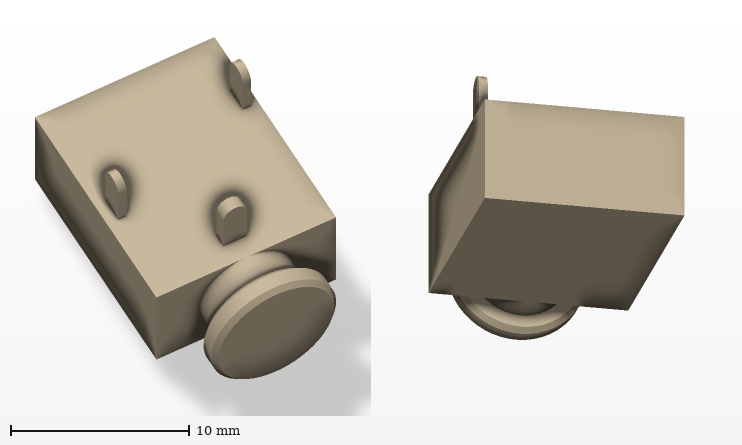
import cadquery as cq

total_length = 17.7
body_length = 14.2
body_width = 11.5
body_height = 6.0
cover_thickness = 1.0

barrel_diameter = body_height
barrel_length = 2.0
flange_diameter = 8.0
flange_length = total_length - body_length - barrel_length
flange_chamfer = 0.3
axis_height = body_height / 2

pin_width = 1.5
pin_height = 3.2
side_pin_thickness = 0.51
nose_pin_thickness = 0.8
rear_pin_y = 5.0
middle_pin_y = -4.8
rear_pin_x = 4.42
middle_pin_x = 7.72
nose_pin_x = 12.51
quarter_turn = 90


def block(bottom, height):
    """Box over the enclosure footprint, with its rear face at X = 0."""
    return (
        cq.Workplane("XY")
        .box(body_length, body_width, height, centered=(False, True, False))
        .translate((0, 0, bottom))
    )


def disc(start_x, diameter, length):
    """Cylinder on the socket axis."""
    return (
        cq.Workplane("YZ", origin=(start_x, 0, axis_height))
        .circle(diameter / 2)
        .extrude(length)
    )


def make_pin(x, y, thickness, turn):
    """Flat pin with a fully rounded tip, turned about its vertical axis."""
    shoulder_height = pin_height - pin_width / 2
    return (
        cq.Workplane("XZ")
        .moveTo(-pin_width / 2, 0)
        .lineTo(pin_width / 2, 0)
        .lineTo(pin_width / 2, shoulder_height)
        .threePointArc((0, pin_height), (-pin_width / 2, shoulder_height))
        .close()
        .extrude(thickness / 2, both=True)
        .rotate((0, 0, 0), (0, 0, 1), turn)
        .translate((x, y, body_height))
    )


def make_housing():
    """Housing block with its barrel, flange and three pins."""
    housing = block(cover_thickness, body_height - cover_thickness)
    barrel = disc(body_length, barrel_diameter, barrel_length)
    flange = disc(body_length + barrel_length, flange_diameter, flange_length)
    flange = flange.edges().chamfer(flange_chamfer)
    housing = housing.union(barrel).union(flange)

    pins = [
        (rear_pin_x, rear_pin_y, side_pin_thickness, 0),
        (middle_pin_x, middle_pin_y, side_pin_thickness, 0),
        (nose_pin_x, 0, nose_pin_thickness, quarter_turn),
    ]
    for x, y, thickness, turn in pins:
        housing = housing.union(make_pin(x, y, thickness, turn))
    return housing


def make_cover():
    """Flat plate closing the underside of the housing."""
    return block(0, cover_thickness)


housing = make_housing()
cover = make_cover()
result = cq.Compound.makeCompound([housing.val(), cover.val()])